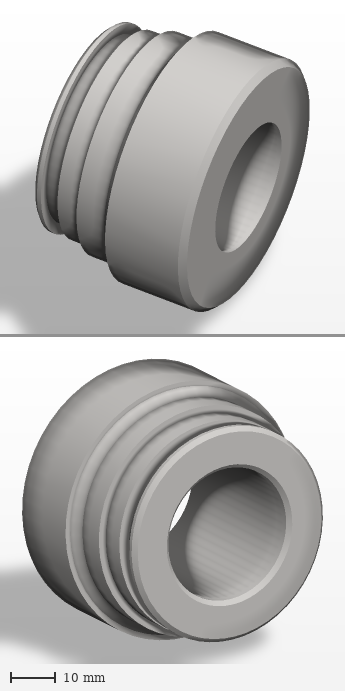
import cadquery as cq

total_length = 41.0
nose_chamfer = 1.0
groove_start = 2.0
groove_end = 6.2
collar_end = 12.0
step_end = 19.0
head_start = 21.0

nose_radius = 25.0
groove_radius = 22.5
step_radius = 26.8
cone_end_radius = 28.8
head_radius = 30.0
bore_radius = 15.4

rear_chamfer = 1.5
bore_chamfer = 1.0


def turned_body():
    """Stepped outer profile, revolved about the X axis."""
    profile = [
        (0, 0),
        (0, nose_radius - nose_chamfer),
        (nose_chamfer, nose_radius),
        (groove_start, nose_radius),
        (groove_start, groove_radius),
        (groove_end, groove_radius),
        (groove_end, nose_radius),
        (collar_end, nose_radius),
        (collar_end, step_radius),
        (step_end, step_radius),
        (head_start, cone_end_radius),
        (head_start, head_radius),
        (total_length - rear_chamfer, head_radius),
        (total_length, head_radius - rear_chamfer),
        (total_length, 0),
    ]
    return cq.Workplane("XZ").polyline(profile).close().revolve(360, (0, 0, 0), (1, 0, 0))


def bore_cutter():
    """Through bore with a chamfered mouth at the small end."""
    profile = [
        (0, 0),
        (0, bore_radius + bore_chamfer),
        (bore_chamfer, bore_radius),
        (total_length, bore_radius),
        (total_length, 0),
    ]
    return cq.Workplane("XZ").polyline(profile).close().revolve(360, (0, 0, 0), (1, 0, 0))


result = turned_body().cut(bore_cutter())